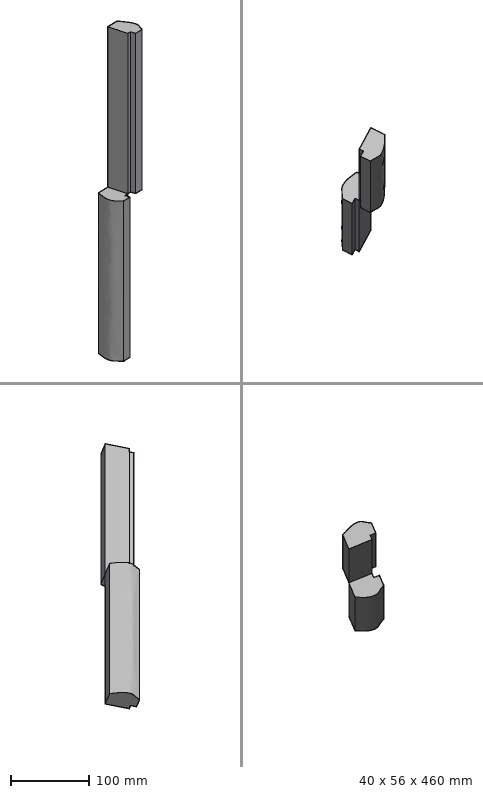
import cadquery as cq

total_length = 460.0
bar_length = total_length / 2
width = 40.0
depth = 28.0

side_height = 20.2
groove_width = 8.0
groove_depth = 6.0
crown_center = 24.0
flank_run = 2.2
flank_rise = 1.0


def make_bar(direction, bottom):
    """Bar with its mating face on Y = 0 and its crown towards direction * Y."""
    left = -width / 2
    right = width / 2
    crown_x = left + crown_center
    return (
        cq.Workplane("XY", origin=(0, 0, bottom))
        .moveTo(left, 0)
        .lineTo(right - groove_width, 0)
        .lineTo(right - groove_width, direction * groove_depth)
        .lineTo(right, direction * groove_depth)
        .lineTo(right, direction * side_height)
        .spline(
            [(crown_x, direction * depth), (left, direction * side_height)],
            tangents=[
                (-flank_run, direction * flank_rise),
                (-flank_run, 0),
                (-flank_run, -direction * flank_rise),
            ],
            includeCurrent=True,
        )
        .close()
        .extrude(bar_length)
    )


bars = [
    make_bar(direction, bottom).val()
    for direction, bottom in ((-1, -bar_length), (1, 0))
]

result = cq.Compound.makeCompound(bars)